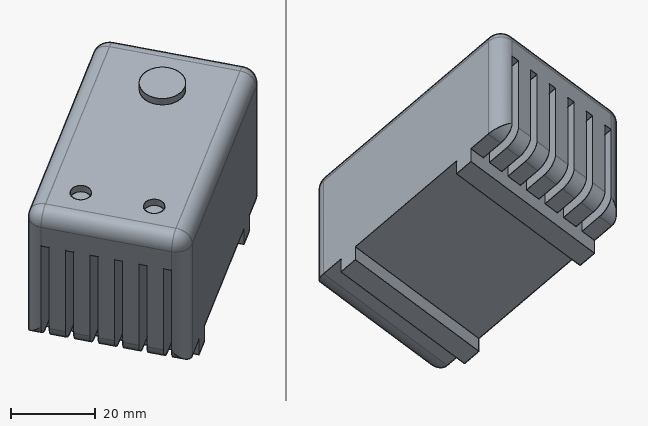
import cadquery as cq

body_width = 40.0
body_length = 65.0
body_height = 40.0
edge_radius = 4.0

foot_count = 2
foot_length = 5.0
foot_height = 5.0
foot_spacing = 40.0

slot_count = 6
slot_width = 2.0
slot_pitch = 6.0
slot_depth = (body_length - foot_spacing - foot_length) / 2
slot_height = 30.0

button_diameter = 11.0
button_height = 2.0
button_inset = 15.0

hole_count = 2
hole_diameter = 5.0
hole_depth = 2.0
hole_spacing = 18.0
hole_inset = 10.0


def centred_positions(count, pitch):
    """Evenly spaced positions, symmetric about zero."""
    return [(i - (count - 1) / 2) * pitch for i in range(count)]


def make_block():
    return cq.Workplane("XY").box(body_width, body_length, body_height, centered=(True, True, False))


def make_body():
    """Block rounded at the upright and top edges, and at the two bottom end edges."""
    rounded_above = make_block().edges("|Z or >Z").fillet(edge_radius)
    rounded_below = make_block().edges("<Z and |X").fillet(edge_radius)
    return rounded_above.intersect(rounded_below)


def make_feet():
    return (
        cq.Workplane("XY")
        .pushPoints([(0, y) for y in centred_positions(foot_count, foot_spacing)])
        .rect(body_width, foot_length)
        .extrude(-foot_height)
    )


def make_slots():
    slot_centre_y = -body_length / 2 + slot_depth / 2
    return (
        cq.Workplane("XY")
        .pushPoints([(x, slot_centre_y) for x in centred_positions(slot_count, slot_pitch)])
        .rect(slot_width, slot_depth)
        .extrude(slot_height)
    )


def make_button():
    return (
        cq.Workplane("XY", origin=(0, body_length / 2 - button_inset, body_height))
        .circle(button_diameter / 2)
        .extrude(button_height)
    )


def make_holes():
    hole_y = -body_length / 2 + hole_inset
    return (
        cq.Workplane("XY", origin=(0, hole_y, body_height))
        .pushPoints([(x, 0) for x in centred_positions(hole_count, hole_spacing)])
        .circle(hole_diameter / 2)
        .extrude(-hole_depth)
    )


result = make_body().union(make_feet()).union(make_button()).cut(make_slots()).cut(make_holes())